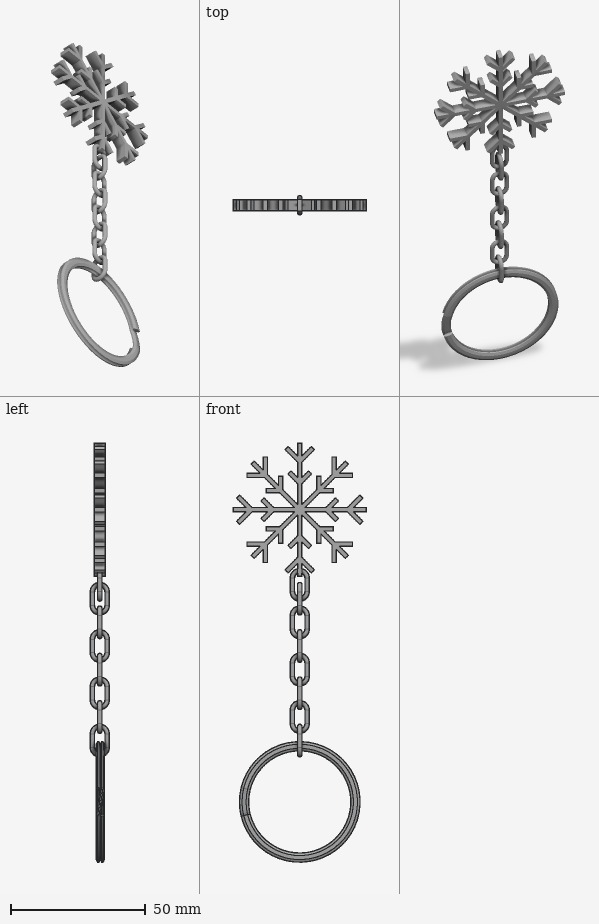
import cadquery as cq
import math

ARM_COUNT = 8
ARM_LENGTH = 24.725
ARM_WIDTH = 1.65
FLAKE_THICKNESS = 4.2
BRANCH_ANGLE = 45.0
FORKS = [(10.0, 5.4), (18.0, 6.9)]

LINK_WIDTH = 7.19
LINK_STRAIGHT = 5.0
WIRE_DIAMETER = 1.73
BEND_RADIUS = (LINK_WIDTH - WIRE_DIAMETER) / 2
HANGER_LINK_Z = -27.87

CHAIN_LINK_COUNT = 7
CHAIN_TOP_LINK_Z = -33.0
CHAIN_PITCH = 8.77

TOTAL_HEIGHT = 155.49
RING_OUTER_RADIUS = 22.4
RING_RADIAL_WIDTH = 3.5
COIL_THICKNESS = 1.5
COIL_CHAMFER_RADIAL = 1.0
COIL_CHAMFER_AXIAL = 0.5
RING_CENTER_Y = -0.2
RING_CENTER_Z = ARM_LENGTH - TOTAL_HEIGHT + RING_OUTER_RADIUS
CROSSOVER_ANGLE = 27.4
CROSSOVER_SECTIONS = 7


def flake_bar(length):
    """Rectangular bar that starts on the Y axis and runs up +Z."""
    return cq.Workplane("XY").box(
        ARM_WIDTH, FLAKE_THICKNESS, length, centered=(True, True, False)
    )


def flake_arm():
    """One arm along +Z with a pair of slanted branches at each fork."""
    arm = flake_bar(ARM_LENGTH)
    for fork_distance, branch_length in FORKS:
        for side in (-1, 1):
            branch = flake_bar(branch_length).rotate((0, 0, 0), (0, 1, 0), side * BRANCH_ANGLE)
            arm = arm.union(branch.translate((0, 0, fork_distance)))
    return arm


def make_snowflake(hanger_link):
    """Eight arms, with the lowest one pierced by the wire of the hanger link."""
    arm = flake_arm()
    flake = arm
    for index in range(1, ARM_COUNT):
        flake = flake.union(arm.rotate((0, 0, 0), (0, 1, 0), index * 360 / ARM_COUNT))
    return flake.cut(hanger_link)


def make_link(center_z, quarter_turn):
    """Stadium link in the XZ plane, or in the YZ plane after a quarter turn."""
    half_straight = LINK_STRAIGHT / 2
    path = (
        cq.Workplane("XZ")
        .moveTo(BEND_RADIUS, -half_straight)
        .lineTo(BEND_RADIUS, half_straight)
        .threePointArc((0, half_straight + BEND_RADIUS), (-BEND_RADIUS, half_straight))
        .lineTo(-BEND_RADIUS, -half_straight)
        .threePointArc((0, -half_straight - BEND_RADIUS), (BEND_RADIUS, -half_straight))
        .close()
    )
    wire_section = cq.Workplane("XY", origin=(BEND_RADIUS, 0, -half_straight))
    link = wire_section.circle(WIRE_DIAMETER / 2).sweep(path)
    if quarter_turn:
        link = link.rotate((0, 0, 0), (0, 0, 1), 90)
    return link.translate((0, 0, center_z))


def make_chain():
    """Links joined where their wires bear on each other."""
    chain = make_link(CHAIN_TOP_LINK_Z, True)
    for index in range(1, CHAIN_LINK_COUNT):
        link_z = CHAIN_TOP_LINK_Z - index * CHAIN_PITCH
        chain = chain.union(make_link(link_z, index % 2 == 0))
    return chain


def coil_section(plane, middle_y):
    """Chamfered rectangular coil section; local x is the radius and local y is Y."""
    half_thickness = COIL_THICKNESS / 2
    flat_half = half_thickness - COIL_CHAMFER_AXIAL
    inner = RING_OUTER_RADIUS - RING_RADIAL_WIDTH
    outer = RING_OUTER_RADIUS
    corners = [
        (inner, -flat_half),
        (inner + COIL_CHAMFER_RADIAL, -half_thickness),
        (outer - COIL_CHAMFER_RADIAL, -half_thickness),
        (outer, -flat_half),
        (outer, flat_half),
        (outer - COIL_CHAMFER_RADIAL, half_thickness),
        (inner + COIL_CHAMFER_RADIAL, half_thickness),
        (inner, flat_half),
    ]
    return cq.Workplane(plane).polyline([(x, y + middle_y) for x, y in corners]).close()


def radial_plane(angle):
    """Plane through the ring axis; the angle runs from +X towards +Z."""
    radians = math.radians(angle)
    outward = (math.cos(radians), 0, math.sin(radians))
    across = (-math.sin(radians), 0, math.cos(radians))
    return cq.Plane(origin=(0, 0, 0), xDir=outward, normal=across)


def make_coil(middle_y):
    """Open coil that leaves the crossover angle free on the -X side."""
    section = coil_section(radial_plane(180 - CROSSOVER_ANGLE / 2), middle_y)
    return section.revolve(360 - CROSSOVER_ANGLE, (0, 0), (0, 1))


def make_crossover():
    """Slanted stretch from the upper end of the front coil to the lower end of the back coil."""
    wires = []
    for index in range(CROSSOVER_SECTIONS):
        fraction = index / (CROSSOVER_SECTIONS - 1)
        angle = 180 + (fraction - 0.5) * CROSSOVER_ANGLE
        middle_y = (fraction - 0.5) * COIL_THICKNESS
        wires.append(coil_section(radial_plane(angle), middle_y).wires().val())
    return cq.Workplane(cq.Solid.makeLoft(wires))


def make_ring():
    """Front coil, back coil and crossover as one piece."""
    front_coil = make_coil(-COIL_THICKNESS / 2)
    back_coil = make_coil(COIL_THICKNESS / 2)
    ring = front_coil.union(back_coil).union(make_crossover())
    return ring.translate((0, RING_CENTER_Y, RING_CENTER_Z))


hanger_link = make_link(HANGER_LINK_Z, False)
snowflake = make_snowflake(hanger_link)
chain = make_chain()
ring = make_ring()

result = cq.Compound.makeCompound(
    [
        snowflake.solids().val(),
        hanger_link.solids().val(),
        chain.solids().val(),
        ring.solids().val(),
    ]
)